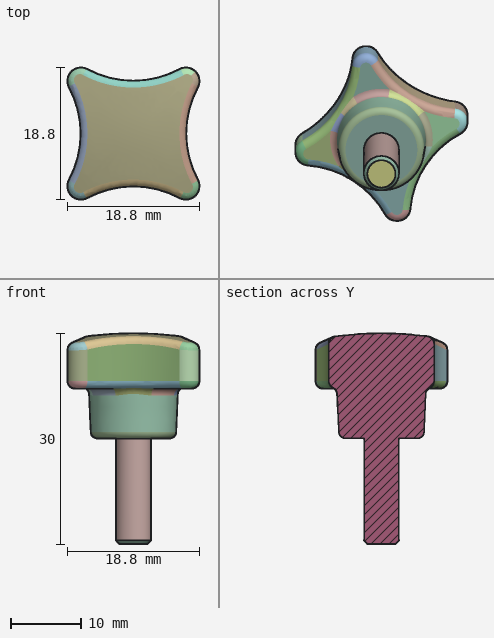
import cadquery as cq
import math

total_height = 30.0
stud_length = 15.0
head_bottom = 22.08

stud_diameter = 5.0
stud_chamfer = 0.5

hub_bottom_radius = 6.05
hub_top_radius = 6.35
hub_edge_radius = 1.0
neck_fillet = 1.0

head_width = 18.8
waist_width = 15.05
lobe_radius = 1.95
dome_radius = 50.1
head_edge_radius = 1.15

position_tolerance = 0.003

lobe_center = head_width / 2 - lobe_radius
waist = waist_width / 2
waist_offset = waist - lobe_center
side_radius = (lobe_center**2 + waist_offset**2 - lobe_radius**2) / (2 * (lobe_radius - waist_offset))
side_center = waist + side_radius


def rotated(point, quarter_turns):
    """Turn a plan point about the axis by whole quarter turns."""
    x, y = point
    for _ in range(quarter_turns):
        x, y = -y, x
    return x, y


def make_head():
    """Lobed prism with a spherical top and rounded edges."""
    along = lobe_radius / (lobe_radius + side_radius)
    tangent_x = lobe_center * (1 - along)
    tangent_y = lobe_center + (side_center - lobe_center) * along
    tip = lobe_center + lobe_radius / math.sqrt(2)

    outline = cq.Workplane("XY").workplane(offset=head_bottom).moveTo(tangent_x, tangent_y)
    for turn in range(4):
        outline = outline.threePointArc(rotated((0, waist), turn), rotated((-tangent_x, tangent_y), turn))
        outline = outline.threePointArc(rotated((-tip, tip), turn), rotated((-tangent_y, tangent_x), turn))
    prism = outline.close().extrude(total_height - head_bottom)

    dome = cq.Workplane("XY").sphere(dome_radius).rotate((0, 0, 0), (0, 0, 1), 45)
    dome = dome.translate((0, 0, total_height - dome_radius))
    head = prism.intersect(dome)
    return head.edges("not |Z").fillet(head_edge_radius)


def make_hub():
    """Slightly tapered hub with a rounded lower edge."""
    profile = [
        (0, stud_length),
        (hub_bottom_radius, stud_length),
        (hub_top_radius, head_bottom),
        (0, head_bottom),
    ]
    hub = cq.Workplane("XZ").polyline(profile).close().revolve(360, (0, 0), (0, 1))
    return hub.faces("<Z").edges().fillet(hub_edge_radius)


def make_stud():
    """Plain stud with a chamfered end."""
    stud = cq.Workplane("XY").circle(stud_diameter / 2).extrude(stud_length)
    return stud.faces("<Z").edges().chamfer(stud_chamfer)


def blend_neck(body):
    """Round the inside corner where the hub meets the underside of the head."""
    neck_edges = [
        edge
        for edge in body.edges("%CIRCLE").vals()
        if math.isclose(edge.BoundingBox().zmax, head_bottom, abs_tol=position_tolerance)
        and math.isclose(edge.radius(), hub_top_radius, abs_tol=position_tolerance)
    ]
    return body.newObject(neck_edges).fillet(neck_fillet)


knob = blend_neck(make_head().union(make_hub()))
result = knob.union(make_stud())